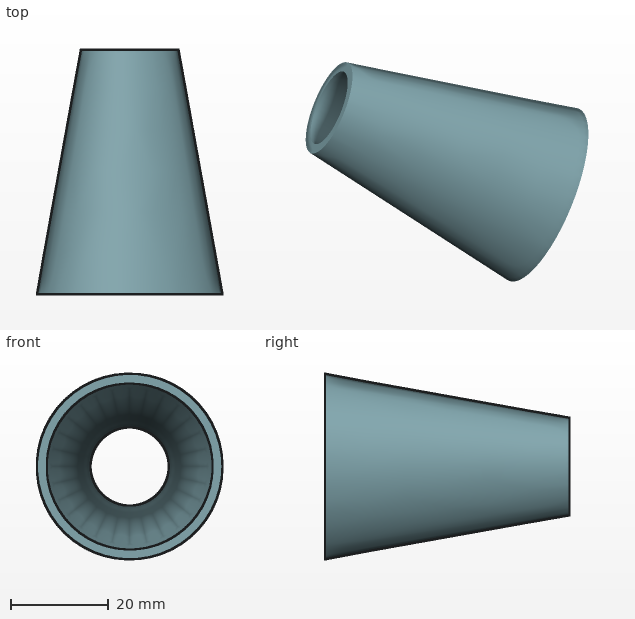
import cadquery as cq
import math

length = 50.0
wide_diameter = 38.0
narrow_diameter = 20.0
wall = 2.0

wide_radius = wide_diameter / 2
narrow_radius = narrow_diameter / 2

slope_angle = math.atan2(wide_radius - narrow_radius, length)
radial_wall = wall / math.cos(slope_angle)

wall_section = [
    (wide_radius - radial_wall, 0),
    (wide_radius, 0),
    (narrow_radius, length),
    (narrow_radius - radial_wall, length),
]

result = (
    cq.Workplane("XY")
    .polyline(wall_section)
    .close()
    .revolve(360, (0, 0, 0), (0, 1, 0))
)